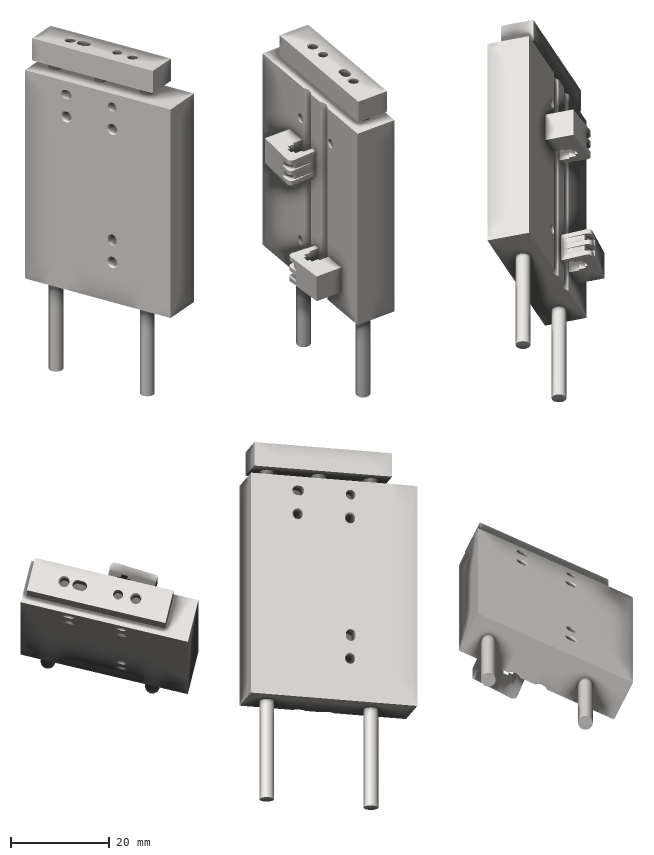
import cadquery as cq

HOUSING_WIDTH = 35.0
HOUSING_DEPTH = 9.0
HOUSING_HEIGHT = 47.0
HOUSING_BOTTOM = 21.0
HOUSING_TOP = HOUSING_BOTTOM + HOUSING_HEIGHT

AXIS_X = 15.5
AXIS_Y = 4.65

PLATE_WIDTH = 29.0
PLATE_DEPTH = 7.0
PLATE_THICKNESS = 5.0
OVERALL_HEIGHT = 75.0
PLATE_BOTTOM = OVERALL_HEIGHT - PLATE_THICKNESS

ROD_DIAMETER = 3.0
ROD_SPACING = 10.95

SCREW_DIAMETER = 2.0
SCREW_MOUTH_DIAMETER = 2.5
SCREW_CHAMFER = (SCREW_MOUTH_DIAMETER - SCREW_DIAMETER) / 2

LOCATOR_WIDTH = 2.0
LOCATOR_DEPTH = 3.0
HOUSING_SLOT_LENGTH = 2.5
PLATE_SLOT_LENGTH = 3.0

HOLE_LEFT_X = 10.0
HOLE_RIGHT_X = 21.0
UPPER_LOCATOR_Z = HOUSING_TOP - 3.0
LOWER_LOCATOR_Z = HOUSING_TOP - 33.0
SCREW_DROP = 5.0
PLATE_SCREW_DEPTH = 3.0

PLATE_SCREW_OFFSET = 7.5
PLATE_HOLE_OFFSET = 3.75
PLATE_SLOT_OFFSET = -4.3

CLIP_WIDTH = 9.5
CLIP_HEIGHT = 6.1
CLIP_OUTER_DEPTH = 6.0
CLIP_INNER_DEPTH = 6.6
CLIP_OVERHANG = 0.45
CLIP_CORNER_RADIUS = 1.0
UPPER_CLIP_BOTTOM = 49.0
LOWER_CLIP_BOTTOM = 25.7

CHANNEL_OFFSET = 3.0
CHANNEL_STEPS = [(3.75, 2.25), (2.85, 3.8), (1.35, 4.4)]
GROOVE_DIAMETER = 4.0
GROOVE_DEPTH = 0.5

NOTCH_HEIGHT = 1.5
NOTCH_COUNT = 2
NOTCH_RADIUS = 3.0
NOTCH_DROP = 1.6
FIN_HEIGHT = (CLIP_HEIGHT - NOTCH_COUNT * NOTCH_HEIGHT) / (NOTCH_COUNT + 1)


def round_cutter(diameter, depth):
    """Upright cylinder from Z = 0 down."""
    return cq.Workplane("XY").circle(diameter / 2).extrude(-depth)


def slot_cutter(length, width, depth):
    """Upright slot-shaped cutter from Z = 0 down, long along X."""
    return cq.Workplane("XY").slot2D(length, width).extrude(-depth)


def screw_cutter(depth):
    """Upright round cutter from Z = 0 down, widened by a chamfer at its mouth."""
    mouth = cq.Solid.makeCone(
        SCREW_DIAMETER / 2, SCREW_MOUTH_DIAMETER / 2, SCREW_CHAMFER, cq.Vector(0, 0, -SCREW_CHAMFER)
    )
    return round_cutter(SCREW_DIAMETER, depth).union(cq.Workplane(mouth))


def on_front(cutter, x, z):
    """Turn an upright cutter so that it enters the housing front at (x, z)."""
    return cutter.rotate((0, 0, 0), (1, 0, 0), 90).translate((x, 0, z))


def on_plate_top(cutter, offset):
    """Move an upright cutter to the end plate's top face, at an offset along X."""
    return cutter.translate((AXIS_X + offset, AXIS_Y, OVERALL_HEIGHT))


def rod(offset, bottom, top):
    """Upright rod at an offset along X from the centre line."""
    return (
        cq.Workplane("XY", origin=(AXIS_X + offset, AXIS_Y, bottom))
        .circle(ROD_DIAMETER / 2)
        .extrude(top - bottom)
    )


def make_housing():
    """Block with rod bores, sensor grooves along its back and mounting holes in its front."""
    housing = cq.Workplane("XY", origin=(0, 0, HOUSING_BOTTOM)).box(
        HOUSING_WIDTH, HOUSING_DEPTH, HOUSING_HEIGHT, centered=False
    )
    for offset in (-ROD_SPACING, ROD_SPACING):
        housing = housing.cut(rod(offset, HOUSING_BOTTOM, HOUSING_TOP))
    groove_y = HOUSING_DEPTH - GROOVE_DEPTH + GROOVE_DIAMETER / 2
    for offset in (-CHANNEL_OFFSET, CHANNEL_OFFSET):
        groove = (
            cq.Workplane("XY", origin=(AXIS_X + offset, groove_y, HOUSING_BOTTOM))
            .circle(GROOVE_DIAMETER / 2)
            .extrude(HOUSING_HEIGHT)
        )
        housing = housing.cut(groove)
    for x, z in (
        (HOLE_LEFT_X, UPPER_LOCATOR_Z),
        (HOLE_RIGHT_X, UPPER_LOCATOR_Z),
        (HOLE_RIGHT_X, LOWER_LOCATOR_Z),
    ):
        housing = housing.cut(on_front(screw_cutter(HOUSING_DEPTH), x, z - SCREW_DROP))
    round_hole = round_cutter(LOCATOR_WIDTH, LOCATOR_DEPTH)
    slot = slot_cutter(HOUSING_SLOT_LENGTH, LOCATOR_WIDTH, LOCATOR_DEPTH)
    upright_slot = slot.rotate((0, 0, 0), (0, 0, 1), 90)
    housing = housing.cut(on_front(round_hole, HOLE_RIGHT_X, UPPER_LOCATOR_Z))
    housing = housing.cut(on_front(slot, HOLE_LEFT_X, UPPER_LOCATOR_Z))
    return housing.cut(on_front(upright_slot, HOLE_RIGHT_X, LOWER_LOCATOR_Z))


def make_end_plate():
    """End plate in one piece with the piston rod, which meets the top of the housing."""
    plate = cq.Workplane("XY", origin=(AXIS_X, AXIS_Y, PLATE_BOTTOM)).box(
        PLATE_WIDTH, PLATE_DEPTH, PLATE_THICKNESS, centered=(True, True, False)
    )
    for offset in (-PLATE_SCREW_OFFSET, PLATE_SCREW_OFFSET):
        plate = plate.cut(on_plate_top(screw_cutter(PLATE_SCREW_DEPTH), offset))
    round_hole = round_cutter(LOCATOR_WIDTH, LOCATOR_DEPTH)
    slot = slot_cutter(PLATE_SLOT_LENGTH, LOCATOR_WIDTH, LOCATOR_DEPTH)
    plate = plate.cut(on_plate_top(round_hole, PLATE_HOLE_OFFSET))
    plate = plate.cut(on_plate_top(slot, PLATE_SLOT_OFFSET))
    return plate.union(rod(0, HOUSING_TOP, PLATE_BOTTOM))


def make_clip(bottom):
    """Clip on the +X side of the axis: leaning fins on its inner side, a channel right through."""
    base_y = HOUSING_DEPTH
    clip = (
        cq.Workplane("XY", origin=(AXIS_X, base_y, bottom))
        .moveTo(0, 0)
        .lineTo(CLIP_WIDTH, 0)
        .lineTo(CLIP_WIDTH, CLIP_OUTER_DEPTH)
        .lineTo(-CLIP_OVERHANG, CLIP_INNER_DEPTH)
        .close()
        .extrude(CLIP_HEIGHT)
        .edges("|Z")
        .edges("<X")
        .fillet(CLIP_CORNER_RADIUS)
    )
    for width, height in CHANNEL_STEPS:
        step = cq.Workplane("XY", origin=(AXIS_X + CHANNEL_OFFSET, base_y, bottom)).box(
            width, height, CLIP_HEIGHT, centered=(True, False, False)
        )
        clip = clip.cut(step)
    hollow_y = base_y + CLIP_INNER_DEPTH - NOTCH_DROP + NOTCH_RADIUS
    for index in range(NOTCH_COUNT):
        notch_bottom = bottom + FIN_HEIGHT + index * (FIN_HEIGHT + NOTCH_HEIGHT)
        flat = cq.Workplane("XY", origin=(AXIS_X - CLIP_OVERHANG, base_y, notch_bottom)).box(
            CLIP_OVERHANG, CLIP_INNER_DEPTH, NOTCH_HEIGHT, centered=False
        )
        hollow = (
            cq.Workplane("XY", origin=(AXIS_X, hollow_y, notch_bottom))
            .circle(NOTCH_RADIUS)
            .extrude(NOTCH_HEIGHT)
        )
        clip = clip.cut(flat).cut(hollow)
    return clip


housing = make_housing()
end_plate = make_end_plate()
guide_rods = [rod(offset, 0, PLATE_BOTTOM) for offset in (-ROD_SPACING, ROD_SPACING)]
upper_clip = make_clip(UPPER_CLIP_BOTTOM)
lower_clip = make_clip(LOWER_CLIP_BOTTOM).mirror("YZ", (AXIS_X, 0, 0))

result = cq.Compound.makeCompound(
    [
        housing.val(),
        end_plate.val(),
        *[guide_rod.val() for guide_rod in guide_rods],
        upper_clip.val(),
        lower_clip.val(),
    ]
)